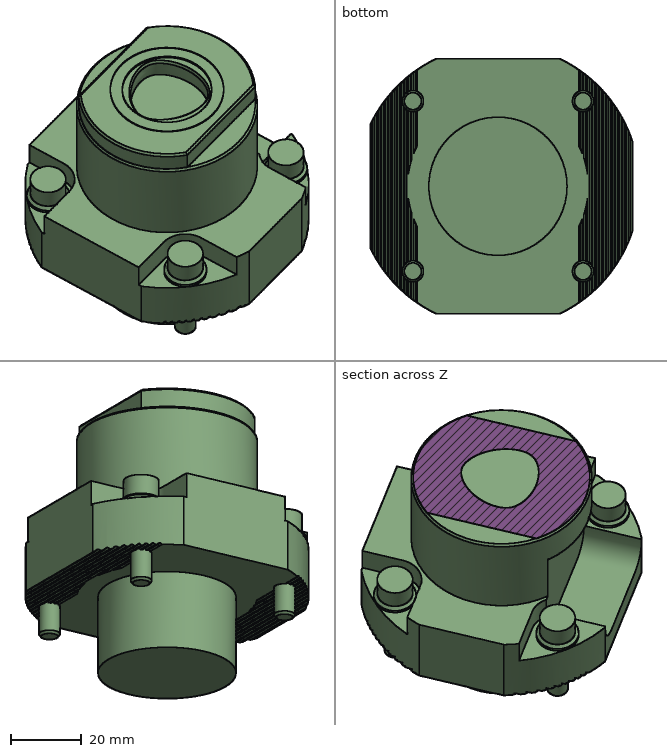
import cadquery as cq
import math

shank_length = 23.0
flange_height = 22.0
corner_floor = 14.7
barrel_top = 48.0
cover_top = 53.75
rim_top = 54.0

flange_radius = 40.0
flange_left = -36.0
flange_right = 38.0
flange_half_depth = 36.0

shank_diameter = 39.0
barrel_diameter = 51.0
cover_diameter = 50.0
cover_half_width = 19.0
rim_diameter = 32.0
edge_chamfer = 0.6

screw_offset = 24.0
head_diameter = 10.0
collar_diameter = 12.0
collar_top_diameter = 10.1
collar_height = 1.6
collar_chamfer_height = 0.8
pin_diameter = 6.0
pin_bottom = -9.0
pin_chamfer_height = 0.75
pin_chamfer_width = 0.6
corner_pocket_radius = 7.5

back_face = 19.0
clearance_top = 37.6
channel_half_width = 17.0
channel_corner_radius = 6.0
channel_floor = 7.0

serration_pitch = 1.5
serration_first_x = 23.25
serration_depth = 0.6
serration_width = 1.0

recess_diameter = 25.2
recess_depth = 0.5
polygon_mean_diameter = 21.8
polygon_lobe_height = 0.7
socket_chamfer_width = 0.45
socket_chamfer_height = 0.8
socket_floor = 48.0
curve_samples = 72


def cylinder(diameter, bottom, top, x=0.0, y=0.0):
    """Upright cylinder between two heights."""
    return cq.Workplane("XY", origin=(x, y, bottom)).circle(diameter / 2).extrude(top - bottom)


def block(x_min, x_max, y_min, y_max, z_min, z_max):
    """Axis-aligned box given by its limits."""
    size = (x_max - x_min, y_max - y_min, z_max - z_min)
    return cq.Workplane("XY").box(*size, centered=False).translate((x_min, y_min, z_min))


def make_flange():
    disc = cylinder(2 * flange_radius, 0, flange_height)
    limits = block(flange_left, flange_right, -flange_half_depth, flange_half_depth, 0, flange_height)
    return disc.intersect(limits)


def make_corner_pocket(side_x, side_y):
    """Open corner step whose inner corner is rounded around the screw axis."""
    inner = screw_offset - corner_pocket_radius
    size = flange_radius - inner
    center = inner + size / 2
    return (
        cq.Workplane("XY", origin=(side_x * center, side_y * center, corner_floor))
        .rect(size, size)
        .extrude(flange_height - corner_floor)
        .edges("|Z")
        .edges(cq.NearestToPointSelector((side_x * inner, side_y * inner, corner_floor)))
        .fillet(corner_pocket_radius)
    )


def make_back_clearance():
    """Space behind the flat back face, with a round-cornered channel in its floor."""
    opening = block(-flange_radius, flange_radius, back_face, flange_radius, corner_floor, clearance_top)
    channel = block(
        -channel_half_width, channel_half_width, back_face, flange_radius, channel_floor, clearance_top
    )
    channel = channel.edges("|Y and <Z").fillet(channel_corner_radius)
    return opening.union(channel)


def make_serrations(side):
    """V-grooves running along Y under one wing of the flange."""
    wing_edge = flange_right if side > 0 else -flange_left
    count = math.floor((wing_edge - serration_first_x) / serration_pitch) + 1
    grooves = cq.Workplane("XY")
    for index in range(count):
        x = side * (serration_first_x + index * serration_pitch)
        groove = (
            cq.Workplane("XZ", origin=(x, flange_radius, 0))
            .polyline([(-serration_width / 2, 0), (0, serration_depth), (serration_width / 2, 0)])
            .close()
            .extrude(2 * flange_radius)
        )
        grooves = grooves.add(groove)
    return grooves.combine()


def make_screw(x, y):
    """Collared screw head above the flange and its chamfered pin below."""
    head = cylinder(head_diameter, corner_floor, flange_height, x, y)
    collar = cylinder(collar_diameter, corner_floor, corner_floor + collar_height, x, y)
    collar_chamfer_width = (collar_diameter - collar_top_diameter) / 2
    collar = collar.faces(">Z").chamfer(collar_chamfer_height, collar_chamfer_width)
    pin = cylinder(pin_diameter, pin_bottom, corner_floor, x, y)
    pin = pin.faces("<Z").chamfer(pin_chamfer_height, pin_chamfer_width)
    return pin.union(collar).union(head)


def make_cover():
    """Round cover with two side flats and a thin raised rim."""
    cover = cylinder(cover_diameter, barrel_top, cover_top)
    limits = block(
        -cover_half_width, cover_half_width, -cover_diameter, cover_diameter, barrel_top, cover_top
    )
    cover = cover.intersect(limits).faces(">Z").chamfer(edge_chamfer)
    return cover.union(cylinder(rim_diameter, cover_top, rim_top))


def polygon_wire(mean_diameter, height):
    """Three-lobed polygon whose lobes point to -Y, +X+Y and -X+Y."""
    lobe = polygon_lobe_height

    def point(t):
        angle = 2 * math.pi * t
        along = mean_diameter / 2 * math.cos(angle) + lobe * (2 * math.cos(2 * angle) - math.cos(4 * angle))
        across = mean_diameter / 2 * math.sin(angle) - lobe * (2 * math.sin(2 * angle) + math.sin(4 * angle))
        return (across, -along, height)

    return cq.Workplane("XY").parametricCurve(point, N=curve_samples).val()


def make_socket():
    ledge = rim_top - recess_depth
    chamfer_bottom = ledge - socket_chamfer_height
    recess = cylinder(recess_diameter, ledge, rim_top)
    lower = polygon_wire(polygon_mean_diameter, chamfer_bottom)
    upper = polygon_wire(polygon_mean_diameter + 2 * socket_chamfer_width, ledge)
    mouth = cq.Workplane(cq.Solid.makeLoft([lower, upper]))
    bore = cq.Workplane(
        cq.Solid.extrudeLinear(lower, [], cq.Vector(0, 0, socket_floor - chamfer_bottom))
    )
    return recess.union(mouth).union(bore)


corners = [(1, 1), (1, -1), (-1, 1), (-1, -1)]

barrel = cylinder(barrel_diameter, 0, barrel_top).faces(">Z").chamfer(edge_chamfer)
result = make_flange()
for side in (-1, 1):
    result = result.cut(make_serrations(side))
for side_x, side_y in corners:
    result = result.cut(make_corner_pocket(side_x, side_y))
result = result.union(barrel).cut(make_back_clearance())
result = result.union(cylinder(shank_diameter, -shank_length, 0))
for side_x, side_y in corners:
    result = result.union(make_screw(side_x * screw_offset, side_y * screw_offset))
result = result.union(make_cover()).cut(make_socket())